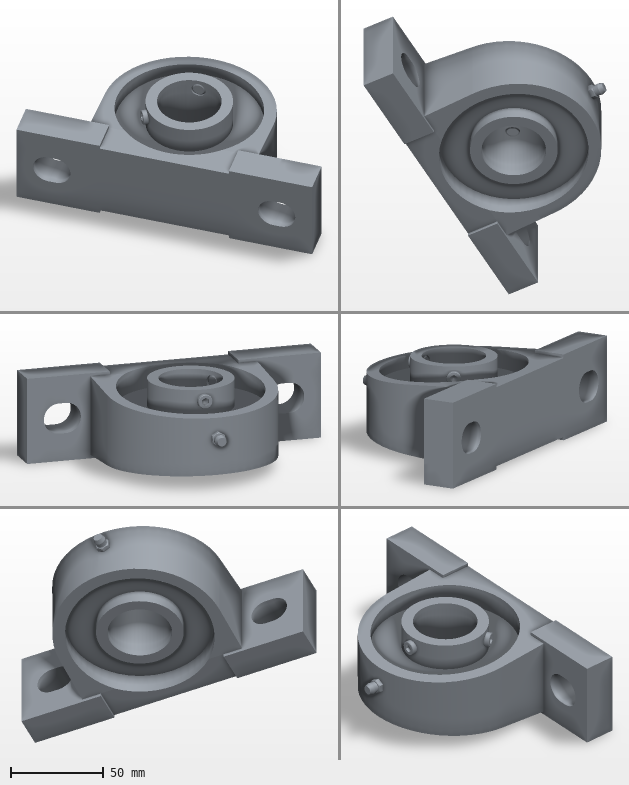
import cadquery as cq
import math


base_length = 167.0
base_width = 48.0
base_thickness = 18.0
axis_height = 47.6
waist_length = 73.0
waist_width = 44.2
slot_length = 21.0
slot_width = 17.0
slot_spacing = 127.0

housing_radius = 47.4
housing_tip_width = 32.2
recess_diameter = 81.0
recess_floor_width = 20.0

ring_diameter = 47.45
ring_bore = 35.0
ring_width = 42.9
ring_top = 25.4

screw_diameter = 8.0
screw_z = 19.1
screw_inner_radius = 17.5
screw_outer_radius = 26.4
screw_point_chamfer = 0.9
screw_head_chamfer = 0.3
screw_angles = (90.0, 210.0)
socket_flats = 4.0
socket_depth = 2.0
socket_cone_depth = 1.2

nipple_z = 4.6
hex_flats = 7.0
hex_height = 2.7
hex_chamfer = 0.7
nipple_neck_diameter = 5.9
nipple_neck_height = 3.5
nipple_collar_diameter = 6.5
nipple_collar_height = 5.6
nipple_tip_diameter = 4.92
nipple_height = 8.1
nipple_root_depth = 1.0

mounting_y = -axis_height
base_top_y = mounting_y + base_thickness
cos_30 = math.cos(math.radians(30))


def make_base():
    """Mounting bar with a narrower waist and two elongated bolt holes."""
    base = cq.Workplane("XY").box(base_length, base_thickness, base_width)
    waist_step = (base_width - waist_width) / 2
    for side in (1, -1):
        relief = cq.Workplane("XY").box(waist_length, base_thickness, waist_step)
        base = base.cut(relief.translate((0, 0, side * (base_width - waist_step) / 2)))
    slots = (
        cq.Workplane("XZ")
        .pushPoints([(-slot_spacing / 2, 0), (slot_spacing / 2, 0)])
        .slot2D(slot_length, slot_width)
        .extrude(base_thickness, both=True)
    )
    return base.cut(slots).translate((0, mounting_y + base_thickness / 2, 0))


def make_housing():
    """Round-topped body whose width tapers from the base to the crown."""
    outline = (
        cq.Workplane("XY")
        .moveTo(-housing_radius, base_top_y)
        .lineTo(housing_radius, base_top_y)
        .lineTo(housing_radius, 0)
        .threePointArc((0, housing_radius), (-housing_radius, 0))
        .close()
        .extrude(base_width / 2, both=True)
    )
    taper = (
        cq.Workplane("YZ")
        .polyline([
            (base_top_y, -waist_width / 2),
            (housing_radius, -housing_tip_width / 2),
            (housing_radius, housing_tip_width / 2),
            (base_top_y, waist_width / 2),
        ])
        .close()
        .extrude(housing_radius, both=True)
    )
    return outline.intersect(taper)


def make_recess(side):
    """Round clearance over the bearing on one face: side is +1 or -1."""
    floor = side * recess_floor_width / 2
    return (
        cq.Workplane("XY", origin=(0, 0, floor))
        .circle(recess_diameter / 2)
        .extrude(side * base_width / 2)
    )


def make_ring():
    """Inner ring of the bearing, standing proud of the base on the +Z side."""
    return (
        cq.Workplane("XY", origin=(0, 0, ring_top))
        .circle(ring_diameter / 2)
        .extrude(-ring_width)
    )


def radial_plane(angle, radius, height):
    """Plane facing outward from the bore axis at the given angle and radius."""
    direction = (math.cos(math.radians(angle)), math.sin(math.radians(angle)), 0)
    origin = (radius * direction[0], radius * direction[1], height)
    return cq.Plane(origin=origin, xDir=(0, 0, 1), normal=direction)


def make_screw_hole(angle):
    """Radial hole for a set screw, from the bore axis out through one ring wall."""
    return (
        cq.Workplane(radial_plane(angle, 0, screw_z))
        .circle(screw_diameter / 2)
        .extrude(ring_diameter / 2)
    )


def make_screw(angle):
    """Set screw with chamfered ends and a cone-bottomed hexagon socket in its outer end."""
    head_plane = radial_plane(angle, screw_outer_radius, screw_z)
    screw = (
        cq.Workplane(radial_plane(angle, screw_inner_radius, screw_z))
        .circle(screw_diameter / 2)
        .extrude(screw_outer_radius - screw_inner_radius)
        .faces(cq.selectors.NearestToPointSelector((0, 0, screw_z)))
        .chamfer(screw_point_chamfer)
        .faces(cq.selectors.NearestToPointSelector(head_plane.origin.toTuple()))
        .chamfer(screw_head_chamfer)
    )
    socket_floor = radial_plane(angle, screw_outer_radius - socket_depth, screw_z)
    socket = (
        cq.Workplane(socket_floor)
        .polygon(6, socket_flats / cos_30)
        .extrude(socket_depth)
    )
    drill_point = cq.Solid.makeCone(
        socket_flats / 2,
        0,
        socket_cone_depth,
        pnt=socket_floor.origin,
        dir=-socket_floor.zDir,
    )
    return screw.cut(socket).cut(cq.Workplane(drill_point))


def make_nipple():
    """Grease nipple: chamfered hexagon, neck, collar and tapered tip."""
    crown = cq.Plane(origin=(0, housing_radius, nipple_z), xDir=(0, 0, 1), normal=(0, 1, 0))
    hex_corners = hex_flats / cos_30
    hexagon = (
        cq.Workplane(crown)
        .workplane(offset=-nipple_root_depth)
        .polygon(6, hex_corners)
        .extrude(nipple_root_depth + hex_height)
    )
    chamfer_cone = (
        cq.Workplane(crown)
        .workplane(offset=-nipple_root_depth)
        .circle(hex_corners / 2)
        .extrude(nipple_root_depth + hex_height)
        .faces(">Y")
        .chamfer(hex_chamfer)
    )
    head = (
        cq.Workplane("XY")
        .polyline([
            (0, 0),
            (nipple_neck_diameter / 2, 0),
            (nipple_neck_diameter / 2, nipple_neck_height),
            (nipple_collar_diameter / 2, nipple_collar_height),
            (nipple_tip_diameter / 2, nipple_height),
            (0, nipple_height),
        ])
        .close()
        .revolve(360, (0, 0, 0), (0, 1, 0))
        .translate((0, housing_radius, nipple_z))
    )
    return hexagon.intersect(chamfer_cone).union(head)


body = make_base().union(make_housing())
for face_side in (1, -1):
    body = body.cut(make_recess(face_side))
body = body.union(make_ring())
body = body.cut(cq.Workplane("XY").circle(ring_bore / 2).extrude(base_width, both=True))
for screw_angle in screw_angles:
    body = body.cut(make_screw_hole(screw_angle)).union(make_screw(screw_angle))
result = body.union(make_nipple())